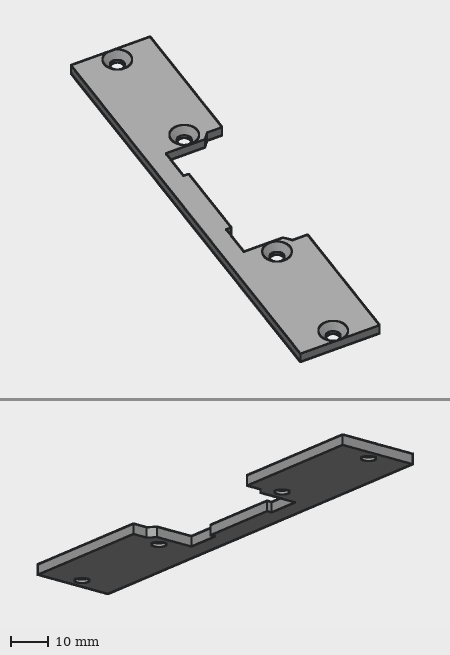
import cadquery as cq

length = 130.0
width = 24.0
thickness = 3.0

mouth_half_width = 24.2
notch_half_width = 22.1
shoulder_top_y = 19.5
shoulder_bottom_y = 17.7
notch_floor_y = 5.8
tongue_half_width = 12.1
tongue_y = 7.4

bore_diameter = 4.0
countersink_diameter = 7.9
countersink_angle = 90
end_hole_x = length / 2 - 3.9
end_hole_y = width / 2
notch_hole_x = 26.3
notch_hole_y = 13.6


def make_plate():
    """Flat plate with the notch and its raised central tongue."""
    right_half = [
        (length / 2, 0),
        (length / 2, width),
        (mouth_half_width, width),
        (mouth_half_width, shoulder_top_y),
        (notch_half_width, shoulder_bottom_y),
        (notch_half_width, notch_floor_y),
        (tongue_half_width, notch_floor_y),
        (tongue_half_width, tongue_y),
    ]
    left_half = [(-x, y) for x, y in reversed(right_half)]
    return cq.Workplane("XY").polyline(right_half + left_half).close().extrude(thickness)


def add_hole_pair(body, x, y):
    """Cut a mirrored pair of through holes, countersunk from the top."""
    return (
        body.faces(">Z")
        .workplane(origin=(0, 0, thickness))
        .pushPoints([(-x, y), (x, y)])
        .cskHole(bore_diameter, countersink_diameter, countersink_angle)
    )


result = make_plate()
result = add_hole_pair(result, end_hole_x, end_hole_y)
result = add_hole_pair(result, notch_hole_x, notch_hole_y)